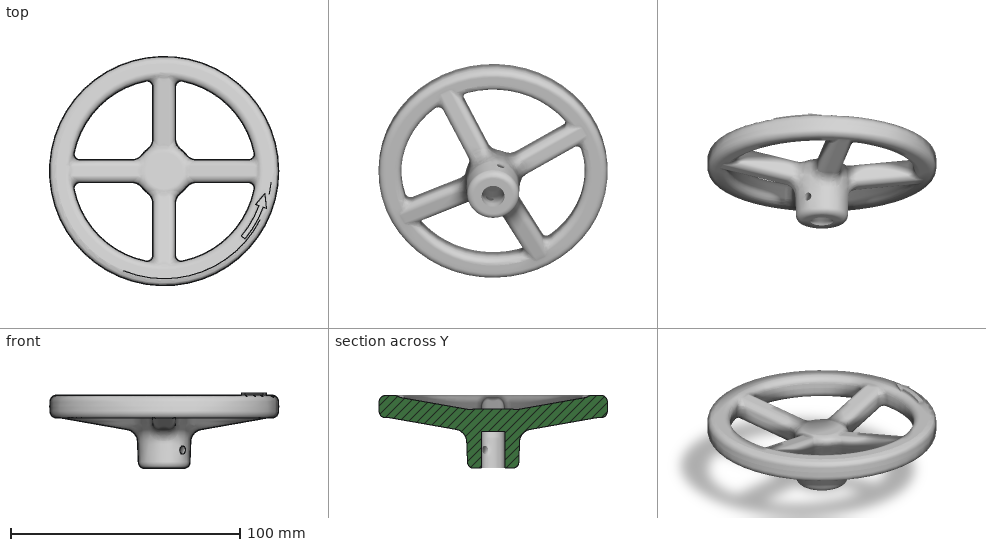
import cadquery as cq
import math

RIM_OUTER_R = 50
RIM_WIDTH = 10
RIM_HEIGHT = 10
RIM_TOP_Z = 32
RIM_INNER_R = RIM_OUTER_R - RIM_WIDTH
RIM_MID_R = RIM_OUTER_R - RIM_WIDTH / 2
RIM_MID_Z = RIM_TOP_Z - RIM_HEIGHT / 2
RIM_BOTTOM_Z = RIM_TOP_Z - RIM_HEIGHT
EDGE_ROUND = 3
CAST_DRAFT = 2

HUB_BOTTOM_R = 11.2
HUB_TOP_Z = 26
HUB_DRAFT = 2.2
HUB_TOP_R = HUB_BOTTOM_R + HUB_TOP_Z * math.tan(math.radians(HUB_DRAFT))
HUB_TOP_ROUND = 4
HUB_FLAT_R = HUB_TOP_R - HUB_TOP_ROUND
HUB_BOTTOM_ROUND = 2.8
BORE_D = 10
PIN_HOLE_D = 3.5
PIN_HOLE_Z = 8
PIN_HOLE_ANGLE = -45
BORE_DEPTH = 2 * PIN_HOLE_Z

SPOKE_COUNT = 4
SPOKE_WIDTH = 10
SPOKE_HEIGHT = 9.7
SPOKE_SLOPE = 10
SPOKE_FOOT_R = RIM_MID_R
SPOKE_OVERRUN = 1
SPOKE_END_R = SPOKE_FOOT_R + SPOKE_OVERRUN
SPOKE_HUB_FILLET = 5.4
SPOKE_RIM_FILLET = 2.5

JOINT_MARGIN = 1
JOINT_HALF_ANGLE = 12
TOLERANCE = 0.01

ARROW_HEIGHT = 1
ARROW_ROOT = 1
ARROW_SHAFT_WIDTH = 2
ARROW_HEAD_WIDTH = 5
ARROW_TAIL_ANGLE = -40
ARROW_HEAD_ANGLE = -20
ARROW_TIP_ANGLE = -12.5


def tapered_section(plane, width, height, draft):
    """Closed outline, widest at mid height and narrowing towards top and bottom."""
    half_w = width / 2
    half_h = height / 2
    end_w = half_w - half_h * math.tan(math.radians(draft))
    outline = [
        (half_w, 0), (end_w, half_h), (-end_w, half_h),
        (-half_w, 0), (-end_w, -half_h), (end_w, -half_h),
    ]
    return cq.Workplane(plane).polyline(outline).close()


def polar(radius, angle):
    a = math.radians(angle)
    return (radius * math.cos(a), radius * math.sin(a))


def make_rim():
    plane = cq.Plane((RIM_MID_R, 0, RIM_MID_Z), (1, 0, 0), (0, -1, 0))
    section = tapered_section(plane, RIM_WIDTH, RIM_HEIGHT, CAST_DRAFT)
    rim = section.revolve(360, (-RIM_MID_R, 0), (-RIM_MID_R, 1))
    return rim.faces("<Z or >Z").edges().fillet(EDGE_ROUND)


def make_hub():
    hub = (
        cq.Workplane("XZ")
        .polyline([(0, 0), (HUB_BOTTOM_R, 0), (HUB_TOP_R, HUB_TOP_Z), (0, HUB_TOP_Z)])
        .close()
        .revolve(360, (0, 0), (0, 1))
    )
    hub = hub.faces(">Z").edges().fillet(HUB_TOP_ROUND)
    return hub.faces("<Z").edges().fillet(HUB_BOTTOM_ROUND)


def make_spoke():
    """Spoke along +X, ending inside the rim just past the foot of its underside."""
    slope = math.radians(SPOKE_SLOPE)
    direction = cq.Vector(math.cos(slope), 0, math.sin(slope))
    half_rise = SPOKE_HEIGHT / 2 / math.cos(slope)
    axis_z = RIM_BOTTOM_Z + half_rise - SPOKE_FOOT_R * math.tan(slope)
    plane = cq.Plane((0, 0, axis_z), (0, 1, 0), direction)
    section = tapered_section(plane, SPOKE_WIDTH, SPOKE_HEIGHT, CAST_DRAFT)
    bar = section.extrude(RIM_OUTER_R)
    corners = bar.edges(cq.selectors.ParallelDirSelector(direction)).filter(
        lambda edge: abs(edge.Center().y) < SPOKE_WIDTH / 2 - TOLERANCE
    )
    envelope = cq.Workplane().circle(SPOKE_END_R).extrude(RIM_TOP_Z)
    return corners.fillet(EDGE_ROUND).intersect(envelope)


def distance_from_axis(edge):
    center = edge.Center()
    return math.hypot(center.x, center.y)


def angle_from_spoke(edge):
    """Angle in degrees between the edge and the centre line of the nearest spoke."""
    center = edge.Center()
    pitch = 360 / SPOKE_COUNT
    angle = math.degrees(math.atan2(center.y, center.x))
    return abs(angle - pitch * round(angle / pitch))


def is_hub_joint(edge):
    """Intersection curves of spoke and hub; the hub's own edges are circles and lines."""
    near_hub = HUB_FLAT_R < distance_from_axis(edge) < HUB_TOP_R + JOINT_MARGIN
    return near_hub and edge.geomType() not in ("CIRCLE", "LINE")


def is_rim_joint(edge):
    """Edges of the loop where a spoke runs into the rim."""
    near_rim = RIM_INNER_R - JOINT_MARGIN < distance_from_axis(edge) < SPOKE_END_R
    near_spoke = angle_from_spoke(edge) < JOINT_HALF_ANGLE
    if not near_rim or not near_spoke or edge.geomType() == "CIRCLE":
        return False
    box = edge.BoundingBox()
    across_spoke = min(box.xlen, box.ylen) > TOLERANCE or box.zlen < TOLERANCE
    return edge.geomType() != "LINE" or across_spoke


def make_arrow():
    """Arrow bent along the rim, rooted inside it and raised above its top."""
    half_shaft = ARROW_SHAFT_WIDTH / 2
    half_head = ARROW_HEAD_WIDTH / 2
    inner_r = RIM_MID_R - half_shaft
    outer_r = RIM_MID_R + half_shaft
    middle_angle = (ARROW_TAIL_ANGLE + ARROW_HEAD_ANGLE) / 2
    return (
        cq.Workplane(origin=(0, 0, RIM_TOP_Z - ARROW_ROOT))
        .moveTo(*polar(inner_r, ARROW_TAIL_ANGLE))
        .lineTo(*polar(outer_r, ARROW_TAIL_ANGLE))
        .threePointArc(polar(outer_r, middle_angle), polar(outer_r, ARROW_HEAD_ANGLE))
        .lineTo(*polar(RIM_MID_R + half_head, ARROW_HEAD_ANGLE))
        .lineTo(*polar(RIM_MID_R, ARROW_TIP_ANGLE))
        .lineTo(*polar(RIM_MID_R - half_head, ARROW_HEAD_ANGLE))
        .lineTo(*polar(inner_r, ARROW_HEAD_ANGLE))
        .threePointArc(polar(inner_r, middle_angle), polar(inner_r, ARROW_TAIL_ANGLE))
        .close()
        .extrude(ARROW_ROOT + ARROW_HEIGHT)
    )


def make_pin_hole():
    """Cross hole through both walls of the hub."""
    half_length = 2 * HUB_BOTTOM_R
    hole = (
        cq.Workplane("YZ")
        .center(0, PIN_HOLE_Z)
        .circle(PIN_HOLE_D / 2)
        .extrude(half_length, both=True)
    )
    return hole.rotate((0, 0, 0), (0, 0, 1), PIN_HOLE_ANGLE)


wheel = make_hub()
spoke = make_spoke()
for index in range(SPOKE_COUNT):
    wheel = wheel.union(spoke.rotate((0, 0, 0), (0, 0, 1), index * 360 / SPOKE_COUNT))
wheel = wheel.edges().filter(is_hub_joint).fillet(SPOKE_HUB_FILLET)
wheel = wheel.union(make_rim())
wheel = wheel.edges().filter(is_rim_joint).fillet(SPOKE_RIM_FILLET)

wheel = wheel.union(make_arrow())
wheel = wheel.cut(cq.Workplane().circle(BORE_D / 2).extrude(BORE_DEPTH))
result = wheel.cut(make_pin_hole())